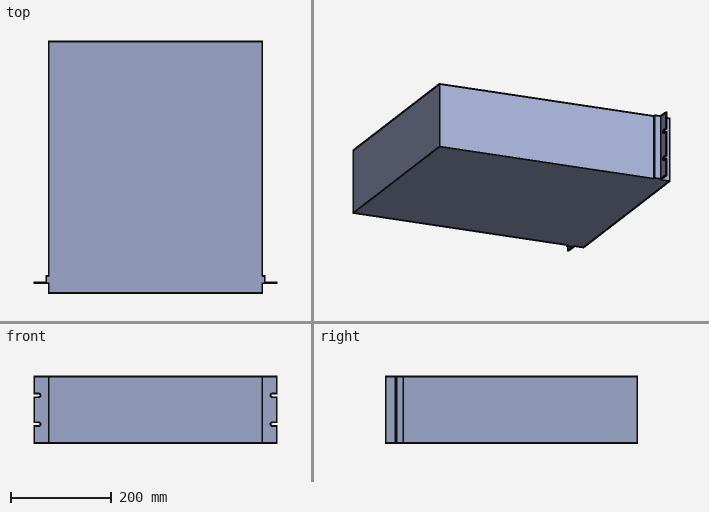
import cadquery as cq

body_width = 425.0
body_depth = 500.0
height = 132.5

rack_width = 482.6
ear_setback = 19.5
ear_thickness = 2.5

block_width = 5.0
block_depth = 12.5

slot_height = 7.0
slot_depth = 12.5
slot_spacing = 57.15


def box_on_front(width, depth, front_y):
    """Full-height box centred on X, reaching back from front_y."""
    return cq.Workplane("XY").box(width, depth, height).translate((0, front_y + depth / 2, 0))


def ear_slot(side, center_z):
    """Round-ended cutter entering an ear from its outer edge; side is -1 or 1."""
    edge_x = side * rack_width / 2
    return (
        cq.Workplane("XZ", origin=(edge_x, ear_setback + ear_thickness, center_z))
        .slot2D(2 * slot_depth, slot_height)
        .extrude(ear_thickness)
    )


def rack_ears():
    """Both ears as one full-width plate, with the mounting slots cut."""
    ears = box_on_front(rack_width, ear_thickness, ear_setback)
    for side in (-1, 1):
        for center_z in (-slot_spacing / 2, slot_spacing / 2):
            ears = ears.cut(ear_slot(side, center_z))
    return ears


body = box_on_front(body_width, body_depth, 0)
block_front_y = ear_setback + ear_thickness
mounting_blocks = box_on_front(body_width + 2 * block_width, block_depth, block_front_y)

result = body.union(mounting_blocks).union(rack_ears())